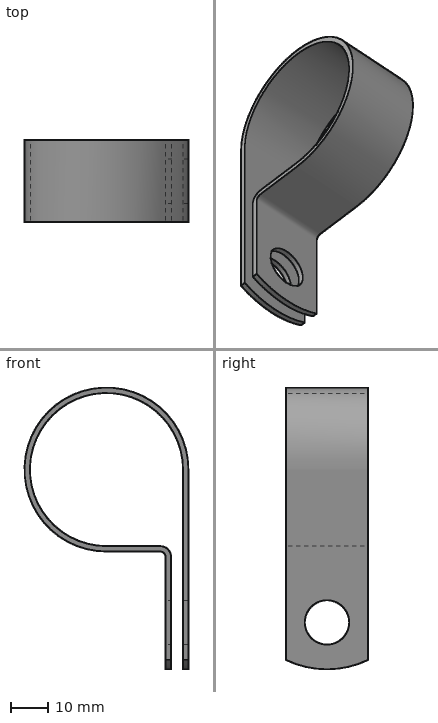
import cadquery as cq
import math

thickness = 1.524
width = 22.225

loop_inner_radius = 20.6375
loop_outer_radius = loop_inner_radius + thickness

flange_gap = 3.175
flange_end_z = -53.975
flange_tip_radius = 25.4
bend_inner_radius = 1.45
bend_outer_radius = bend_inner_radius + thickness

hole_diameter = 11.906
hole_height_above_tip = 12.7

inner_flange_right_x = loop_inner_radius - flange_gap
inner_flange_left_x = inner_flange_right_x - thickness
bend_center_x = inner_flange_right_x - bend_outer_radius
bend_center_z = -loop_inner_radius - bend_outer_radius


def bend_midpoint(radius):
    """Point halfway round the bend between the loop and the inner flange."""
    offset = radius * math.cos(math.radians(45))
    return (bend_center_x + offset, bend_center_z + offset)


def loop_midpoint(radius):
    """Point halfway round the 270 degree loop."""
    offset = radius * math.cos(math.radians(45))
    return (-offset, offset)


def make_strip():
    """Bent strip: outer flange, loop, short shelf, bend and inner flange."""
    profile = (
        cq.Workplane("XZ")
        .moveTo(loop_outer_radius, flange_end_z)
        .lineTo(loop_outer_radius, 0)
        .threePointArc(loop_midpoint(loop_outer_radius), (0, -loop_outer_radius))
        .lineTo(bend_center_x, -loop_outer_radius)
        .threePointArc(bend_midpoint(bend_inner_radius), (inner_flange_left_x, bend_center_z))
        .lineTo(inner_flange_left_x, flange_end_z)
        .lineTo(inner_flange_right_x, flange_end_z)
        .lineTo(inner_flange_right_x, bend_center_z)
        .threePointArc(bend_midpoint(bend_outer_radius), (bend_center_x, -loop_inner_radius))
        .lineTo(0, -loop_inner_radius)
        .threePointArc(loop_midpoint(loop_inner_radius), (loop_inner_radius, 0))
        .lineTo(loop_inner_radius, flange_end_z)
        .close()
    )
    return profile.extrude(width / 2, both=True)


def make_side_outline():
    """Block whose side outline is the strip width with a rounded lower end."""
    half_width = width / 2
    tip_rise = flange_tip_radius - math.sqrt(flange_tip_radius**2 - half_width**2)
    corner_z = flange_end_z + tip_rise
    outline = (
        cq.Workplane("YZ")
        .moveTo(-half_width, loop_outer_radius)
        .lineTo(-half_width, corner_z)
        .threePointArc((0, flange_end_z), (half_width, corner_z))
        .lineTo(half_width, loop_outer_radius)
        .close()
    )
    return outline.extrude(loop_outer_radius, both=True)


def make_hole_cutter():
    """Cylinder along X that pierces both flanges."""
    hole_z = flange_end_z + hole_height_above_tip
    return (
        cq.Workplane("YZ")
        .center(0, hole_z)
        .circle(hole_diameter / 2)
        .extrude(loop_outer_radius, both=True)
    )


result = make_strip().intersect(make_side_outline()).cut(make_hole_cutter())